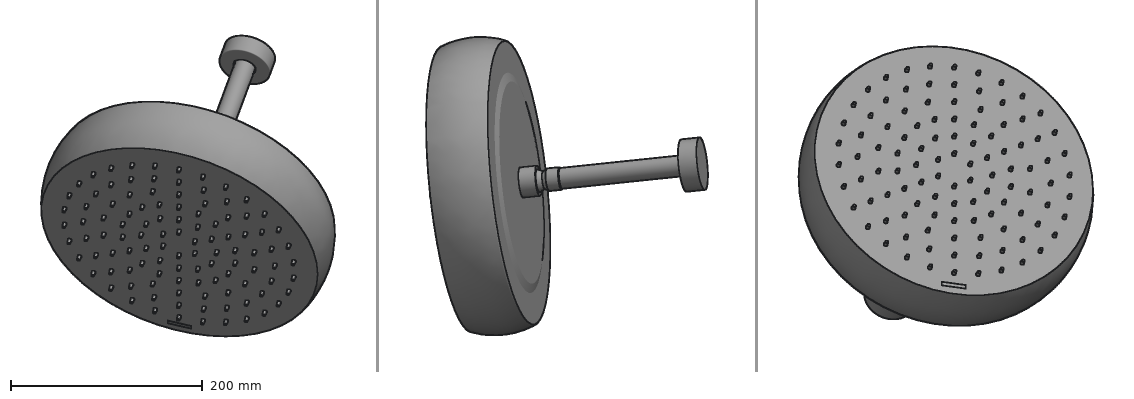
import cadquery as cq
import math


HEAD_RADIUS = 156.0
SPRAY_FACE_RADIUS = 150.0
RIM_DEPTH = 63.5
RIM_EDGE_DEPTH = 2.0
RIM_EDGE_INSET = 1.5
BACK_DEPTH = RIM_DEPTH + RIM_EDGE_DEPTH
RAISED_BACK_DEPTH = 68.3
RAISED_BACK_BASE_RADIUS = 115.3
RAISED_BACK_TOP_RADIUS = 106.0

NOZZLES_PER_RING = [6, 12, 18, 18, 24, 30]
FIRST_RING_RADIUS = 20.0
LAST_RING_RADIUS = 125.0
RING_SPACING = (LAST_RING_RADIUS - FIRST_RING_RADIUS) / (len(NOZZLES_PER_RING) - 1)
NOZZLE_LENGTH = 5.0
NOZZLE_BASE_RADIUS = 2.2
NOZZLE_TIP_RADIUS = 1.5

PLATE_WIDTH = 26.0
PLATE_HEIGHT = 4.5
PLATE_DEPTH = 0.3
PLATE_DROP = 139.3

SOCKET_RADIUS = 16.0
SOCKET_LENGTH = 17.8
SOCKET_END = RAISED_BACK_DEPTH + SOCKET_LENGTH

BALL_RADIUS = 12.5
NECK_RADIUS = 9.0
NECK_SHOULDER_RADIUS = 21.0 / 2
NECK_BASE_RADIUS = 11.0
NECK_LENGTH = 4.5
NUT_RADIUS = 24.0 / 2
NUT_LENGTH = 14.3
NUT_CHAMFER = 1.0
BALL_DROP = 2.8
BALL_CENTER = SOCKET_END - BALL_DROP
NECK_START = BALL_CENTER + math.sqrt(BALL_RADIUS**2 - NECK_RADIUS**2)
NUT_START = NECK_START + NECK_LENGTH
NUT_END = NUT_START + NUT_LENGTH

ARM_RADIUS = 22.0 / 2
FLANGE_RADIUS = 55.2 / 2
FLANGE_LENGTH = 20.0
FLANGE_FILLET = 1.0
ARM_SEAT_RADIUS = 12.2
ARM_SEAT_DEPTH = 3.0
OVERALL_DEPTH = 266.0
WALL = OVERALL_DEPTH - NOZZLE_LENGTH
FLANGE_START = WALL - FLANGE_LENGTH
ARM_END = FLANGE_START + ARM_SEAT_DEPTH


def revolve_about_y(profile):
    """Turn a closed (radius, y) profile in the XY plane about the Y axis."""
    return profile.close().revolve(360, (0, 0, 0), (0, 1, 0))


def cylinder(radius, start, end):
    """Cylinder on the Y axis from y = start to y = end."""
    base = cq.Vector(0, start, 0)
    return cq.Workplane(cq.Solid.makeCylinder(radius, end - start, base, cq.Vector(0, 1, 0)))


def ball():
    """Full sphere of the swivel."""
    return cq.Workplane("XY").sphere(BALL_RADIUS).translate((0, BALL_CENTER, 0))


def nozzles():
    """All nozzles as one list of tapered solids."""
    tapers = []
    for ring, count in enumerate(NOZZLES_PER_RING):
        ring_radius = FIRST_RING_RADIUS + ring * RING_SPACING
        for index in range(count):
            angle = math.pi / 2 + 2 * math.pi * index / count
            center = cq.Vector(ring_radius * math.cos(angle), 0, ring_radius * math.sin(angle))
            outward = cq.Vector(0, -1, 0)
            taper = cq.Solid.makeCone(NOZZLE_BASE_RADIUS, NOZZLE_TIP_RADIUS, NOZZLE_LENGTH, center, outward)
            tapers.append(taper)
    return tapers


def make_head():
    """Bulged disc with a raised back, the nozzles and the name plate recess."""
    disc = revolve_about_y(
        cq.Workplane("XY")
        .lineTo(SPRAY_FACE_RADIUS, 0)
        .threePointArc((HEAD_RADIUS, RIM_DEPTH / 2), (SPRAY_FACE_RADIUS, RIM_DEPTH))
        .tangentArcPoint((SPRAY_FACE_RADIUS - RIM_EDGE_INSET, BACK_DEPTH), relative=False)
        .lineTo(RAISED_BACK_BASE_RADIUS, BACK_DEPTH)
        .lineTo(RAISED_BACK_TOP_RADIUS, RAISED_BACK_DEPTH)
        .lineTo(0, RAISED_BACK_DEPTH)
    )
    recess = (
        cq.Workplane("XY")
        .box(PLATE_WIDTH, PLATE_DEPTH, PLATE_HEIGHT, centered=(True, False, True))
        .translate((0, 0, -PLATE_DROP))
    )
    return cq.Workplane(disc.cut(recess).val().fuse(*nozzles()))


def make_socket():
    """Collar whose spherical seat holds the ball."""
    return cylinder(SOCKET_RADIUS, RAISED_BACK_DEPTH, SOCKET_END).cut(ball())


def make_swivel():
    """Ball, rounded neck and nut in one piece."""
    stem = revolve_about_y(
        cq.Workplane("XY")
        .moveTo(0, BALL_CENTER)
        .lineTo(NECK_RADIUS, NECK_START)
        .threePointArc((NECK_SHOULDER_RADIUS, NECK_START + NECK_LENGTH / 2), (NECK_BASE_RADIUS, NUT_START))
        .lineTo(NUT_RADIUS, NUT_START)
        .lineTo(NUT_RADIUS, NUT_END - NUT_CHAMFER)
        .lineTo(NUT_RADIUS - NUT_CHAMFER, NUT_END)
        .lineTo(0, NUT_END)
    )
    return stem.union(ball())


def make_arm():
    """Straight pipe from the nut to the floor of the flange recess."""
    return cylinder(ARM_RADIUS, NUT_END, ARM_END)


def make_flange():
    """Wall disc with a rounded front edge and a recess for the end of the arm."""
    disc = cylinder(FLANGE_RADIUS, FLANGE_START, WALL).faces("<Y").edges().fillet(FLANGE_FILLET)
    return disc.cut(cylinder(ARM_SEAT_RADIUS, FLANGE_START, ARM_END))


head = make_head()
socket = make_socket()
swivel = make_swivel()
arm = make_arm()
flange = make_flange()

result = cq.Compound.makeCompound([head.val(), socket.val(), swivel.val(), arm.val(), flange.val()])